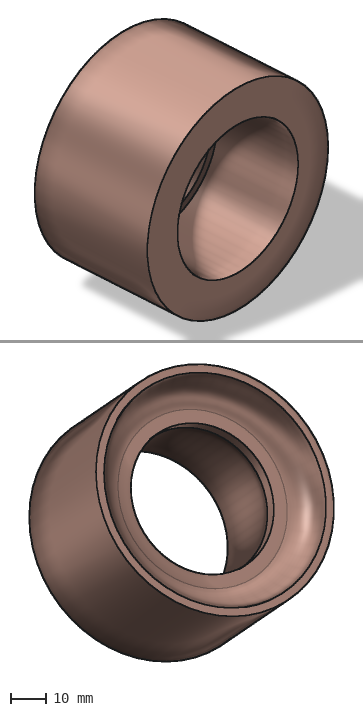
import cadquery as cq

outer_diameter = 75.0
length = 44.0
bore_diameter = 45.0
dish_mouth_diameter = 70.0
dish_floor_diameter = 53.3
dish_depth = (dish_mouth_diameter - dish_floor_diameter) / 2
rear_bore_diameter = 50.0
bore_land = 4.2

outer_radius = outer_diameter / 2
bore_radius = bore_diameter / 2
mouth_radius = dish_mouth_diameter / 2
floor_radius = dish_floor_diameter / 2
rear_bore_radius = rear_bore_diameter / 2
half_root = 0.5 ** 0.5
rear_bore_start = dish_depth + bore_land

section = (
    cq.Workplane("XY")
    .moveTo(0, outer_radius)
    .lineTo(0, mouth_radius)
    .threePointArc(
        (dish_depth * half_root, floor_radius + dish_depth * half_root),
        (dish_depth, floor_radius),
    )
    .lineTo(dish_depth, bore_radius)
    .lineTo(rear_bore_start, bore_radius)
    .lineTo(rear_bore_start, rear_bore_radius)
    .lineTo(length, rear_bore_radius)
    .lineTo(length, outer_radius)
    .close()
)

result = section.revolve(360, (0, 0, 0), (1, 0, 0))